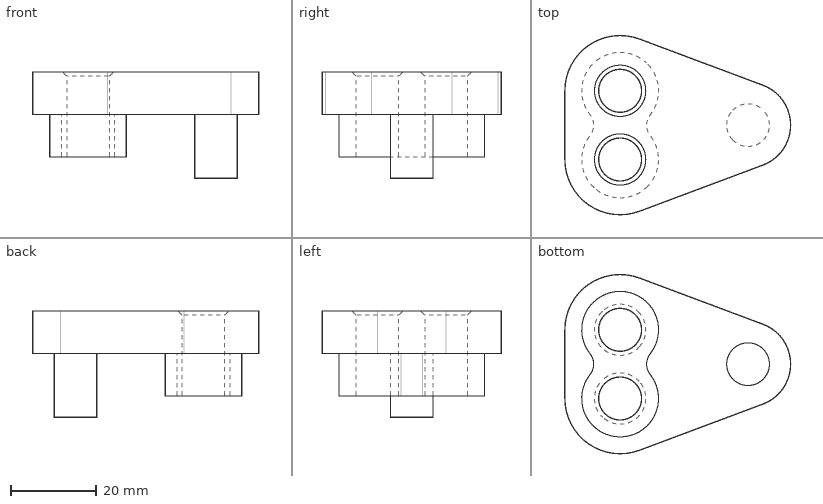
import cadquery as cq
import math

length = 53.0
plate_thickness = 10.0
hole_end_radius = 13.0
pin_end_radius = 10.0
hole_spacing = 16.1

boss_radius = 9.0
boss_height = 10.0
boss_blend_radius = 4.0
hole_diameter = 10.0
hole_chamfer = 1.0
pin_diameter = 10.0
pin_length = 15.0

hole_y = hole_spacing / 2
pin_x = length - hole_end_radius - pin_end_radius
hole_centres = [(0, -hole_y), (0, hole_y)]


def make_plate():
    """Rounded triangular plate with tangent straight sides."""
    centre_distance = math.hypot(pin_x, hole_y)
    centre_line_angle = math.atan2(-hole_y, pin_x)
    normal_angle = centre_line_angle + math.acos((hole_end_radius - pin_end_radius) / centre_distance)
    cos_n = math.cos(normal_angle)
    sin_n = math.sin(normal_angle)
    hole_end = (hole_end_radius * cos_n, hole_y + hole_end_radius * sin_n)
    pin_end = (pin_x + pin_end_radius * cos_n, pin_end_radius * sin_n)
    mid_angle = (normal_angle + math.pi) / 2
    arc_mid = (
        hole_end_radius * math.cos(mid_angle),
        hole_y + hole_end_radius * math.sin(mid_angle),
    )
    return (
        cq.Workplane("XY")
        .moveTo(-hole_end_radius, -hole_y)
        .lineTo(-hole_end_radius, hole_y)
        .threePointArc(arc_mid, hole_end)
        .lineTo(*pin_end)
        .threePointArc((pin_x + pin_end_radius, 0), (pin_end[0], -pin_end[1]))
        .lineTo(hole_end[0], -hole_end[1])
        .threePointArc((arc_mid[0], -arc_mid[1]), (-hole_end_radius, -hole_y))
        .close()
        .extrude(plate_thickness)
    )


def make_bosses():
    """Two overlapping round bosses whose notches are filled by concave blends."""
    bosses = cq.Workplane("XY").pushPoints(hole_centres).circle(boss_radius).extrude(-boss_height)
    blend_reach = boss_radius + boss_blend_radius
    blend_x = math.sqrt(blend_reach**2 - hole_y**2)
    touch_x = blend_x * boss_radius / blend_reach
    touch_y = hole_y * boss_blend_radius / blend_reach
    waist_x = blend_x - boss_blend_radius
    web = (
        cq.Workplane("XY")
        .moveTo(-touch_x, -touch_y)
        .threePointArc((-waist_x, 0), (-touch_x, touch_y))
        .lineTo(touch_x, touch_y)
        .threePointArc((waist_x, 0), (touch_x, -touch_y))
        .close()
        .extrude(-boss_height)
    )
    return bosses.union(web)


def make_holes():
    """Through holes with chamfered mouths on the top face."""
    holes = (
        cq.Workplane("XY", origin=(0, 0, -boss_height))
        .pushPoints(hole_centres)
        .circle(hole_diameter / 2)
        .extrude(boss_height + plate_thickness)
    )
    mouth_radius = hole_diameter / 2 + hole_chamfer
    for x, y in hole_centres:
        mouth = cq.Solid.makeCone(
            mouth_radius - hole_chamfer,
            mouth_radius,
            hole_chamfer,
            pnt=cq.Vector(x, y, plate_thickness - hole_chamfer),
        )
        holes = holes.union(cq.Workplane(mouth))
    return holes


pin = cq.Workplane("XY").center(pin_x, 0).circle(pin_diameter / 2).extrude(-pin_length)

result = make_plate().union(make_bosses()).union(pin).cut(make_holes())